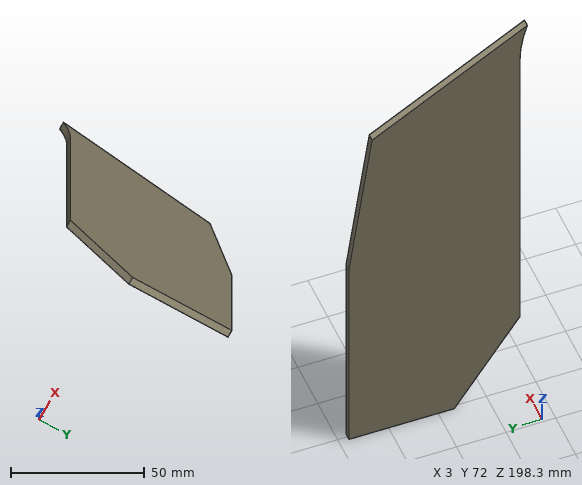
import cadquery as cq

thickness = 3.0
width = 72.0
height = 198.3

tip_overhang = 3.0
bottom_length = 42.5
top_back_inset = 9.3

front_edge_bottom = 40.0
front_edge_top = 180.0
back_edge_top = 93.2
top_back_height = 160.2

flare_rise = height - front_edge_top
flare_radius = (flare_rise**2 + tip_overhang**2) / (2 * tip_overhang)

tip_y = -width / 2
back_y = width / 2
front_y = tip_y + tip_overhang
bottom_z = -height / 2

outline = (
    cq.Workplane("YZ", origin=(-thickness / 2, 0, 0))
    .moveTo(back_y, bottom_z)
    .lineTo(back_y - bottom_length, bottom_z)
    .lineTo(front_y, bottom_z + front_edge_bottom)
    .lineTo(front_y, bottom_z + front_edge_top)
    .radiusArc((tip_y, bottom_z + height), -flare_radius)
    .lineTo(back_y - top_back_inset, bottom_z + top_back_height)
    .lineTo(back_y, bottom_z + back_edge_top)
    .close()
)

result = outline.extrude(thickness)